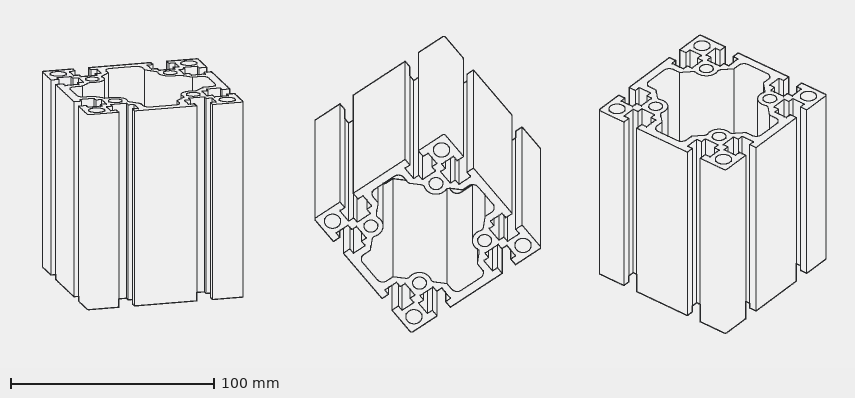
import cadquery as cq
import math

width = 80.0
length = 100.0
half_width = width / 2
edge_radius = 1.0

slot_offset = 20.0
slot_mouth = 8.1
slot_depth = 14.2
chamber_width = 14.2
lip_thickness = 4.0
chamber_floor = 11.2

corner_bore = 8.0
corner_bore_inset = 6.5
core_bore = 6.8
boss_radius = 6.0
boss_blend_radius = 2.0

wall = 4.5
arm_half_width = 9.3
flank_start = 28.3
arm_corner_radius = 3.3
arm_reach = half_width - wall

edge_tolerance = 0.01


def box(x_size, y_size):
    """Full-length block centred on the Z axis."""
    return cq.Workplane("XY").rect(x_size, y_size).extrude(length)


def square_pattern(spacing):
    """Points at the four corners of a square, at +-spacing from the axis."""
    return [(x * spacing, y * spacing) for x in (-1, 1) for y in (-1, 1)]


def t_slot():
    """One slot opening toward +Y, centred on x = 0."""
    mouth = box(slot_mouth, slot_depth).translate((0, half_width - slot_depth / 2, 0))
    chamber_depth = chamber_floor - lip_thickness
    chamber_y = half_width - (lip_thickness + chamber_floor) / 2
    return mouth.union(box(chamber_width, chamber_depth).translate((0, chamber_y, 0)))


def meets_boss(edge):
    """True for a lengthwise edge where a boss runs into a cavity flank."""
    center = edge.Center()
    from_boss = math.hypot(abs(center.x) - slot_offset, abs(center.y) - slot_offset)
    return abs(from_boss - boss_radius) < edge_tolerance


def cavity():
    """Cross-shaped cavity, with its end corners rounded and the bosses blended into its flanks."""
    arm_along_x = box(2 * arm_reach, 2 * arm_half_width).edges("|Z").fillet(arm_corner_radius)
    arm_along_y = box(2 * arm_half_width, 2 * arm_reach).edges("|Z").fillet(arm_corner_radius)
    flank_points = []
    for x_sign, y_sign in ((1, 1), (-1, 1), (-1, -1), (1, -1)):
        on_x_arm = (x_sign * flank_start, y_sign * arm_half_width)
        on_y_arm = (x_sign * arm_half_width, y_sign * flank_start)
        flank_points += [on_x_arm, on_y_arm] if x_sign == y_sign else [on_y_arm, on_x_arm]
    octagon = cq.Workplane("XY").polyline(flank_points).close().extrude(length)
    bosses = cq.Workplane("XY").pushPoints(square_pattern(slot_offset)).circle(boss_radius).extrude(length)
    hollow = octagon.union(arm_along_x).union(arm_along_y).cut(bosses)
    return hollow.edges("|Z").filter(meets_boss).fillet(boss_blend_radius)


def bores(spacing, diameter):
    """Four through bores on a square pattern."""
    return cq.Workplane("XY").pushPoints(square_pattern(spacing)).circle(diameter / 2).extrude(length)


result = box(width, width).edges("|Z").fillet(edge_radius)
result = result.cut(cavity())
for quarter_turn in range(4):
    for x in (-slot_offset, slot_offset):
        slot = t_slot().translate((x, 0, 0))
        result = result.cut(slot.rotate((0, 0, 0), (0, 0, 1), 90 * quarter_turn))
result = result.cut(bores(half_width - corner_bore_inset, corner_bore))
result = result.cut(bores(slot_offset, core_bore))